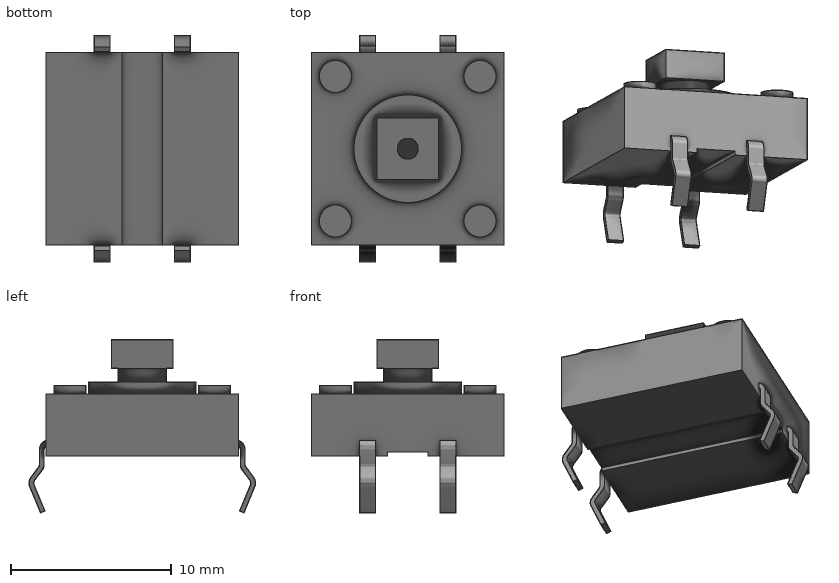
import math
import cadquery as cq

body_side = 12.0
body_height = 3.88
channel_width = 2.5
channel_height = 0.25

post_diameter = 2.0
post_pitch = 9.0
post_top = 4.4

collar_diameter = 6.7
collar_top = 4.6
stem_diameter = 3.0
cap_side = 3.83
cap_bottom = 5.46
cap_top = 7.25
cap_hole_diameter = 1.3

overall_length = 14.1
overall_height = 10.78
terminal_pitch = 5.0
terminal_width = 1.0
strip_thickness = 0.3
bend_inner_radius = 0.3
shank_gap = 0.1
shank_top = 0.4
shank_bottom = -0.51
splay_angle = 37.0
return_angle = 22.5
root_length = 0.5


def make_disc(diameter, bottom, top):
    """Upright cylinder centred on the Z axis."""
    return cq.Workplane("XY").workplane(offset=bottom).circle(diameter / 2).extrude(top - bottom)


def make_block(side, bottom, top):
    """Square block centred on the Z axis."""
    return cq.Workplane("XY").workplane(offset=bottom).rect(side, side).extrude(top - bottom)


def make_housing():
    channel = (
        cq.Workplane("XY")
        .box(channel_width, body_side, channel_height, centered=(True, True, False))
    )
    return make_block(body_side, 0, body_height).cut(channel)


def make_posts():
    return (
        cq.Workplane("XY")
        .workplane(offset=body_height)
        .rect(post_pitch, post_pitch, forConstruction=True)
        .vertices()
        .circle(post_diameter / 2)
        .extrude(post_top - body_height)
    )


def make_plunger():
    collar = make_disc(collar_diameter, body_height, collar_top)
    stem = make_disc(stem_diameter, collar_top, cap_bottom)
    cap = make_block(cap_side, cap_bottom, cap_top)
    cap_hole = make_disc(cap_hole_diameter, cap_bottom, cap_top)
    return collar.union(stem).union(cap.cut(cap_hole))


def on_arc(center, radius, angle):
    """Point on a circle in the YZ plane; the angle is in degrees from +Y."""
    turn = math.radians(angle)
    return (center[0] + radius * math.cos(turn), center[1] + radius * math.sin(turn))


def make_terminal():
    """Terminal on the +Y side, centred on X = 0."""
    bend_outer_radius = bend_inner_radius + strip_thickness
    splay = math.radians(splay_angle)
    lean = math.radians(return_angle)
    shank_outer = body_side / 2 + shank_gap + strip_thickness

    shoulder = (shank_outer - bend_outer_radius, shank_top)
    splay_bend = (shank_outer + bend_inner_radius, shank_bottom)
    knee_y = overall_length / 2 - bend_outer_radius
    radius_sum = bend_inner_radius + bend_outer_radius
    splay_length = (knee_y - splay_bend[0] + radius_sum * math.cos(splay)) / math.sin(splay)
    knee_z = shank_bottom - radius_sum * math.sin(splay) - splay_length * math.cos(splay)
    knee = (knee_y, knee_z)

    outer_knee_end = on_arc(knee, bend_outer_radius, -return_angle)
    inner_knee_end = on_arc(knee, bend_inner_radius, -return_angle)
    tip_z = cap_top - overall_height
    tip_length = (outer_knee_end[1] - tip_z) / math.cos(lean)
    tip_y_step = -tip_length * math.sin(lean)
    tip_z_step = -tip_length * math.cos(lean)

    root_y = shoulder[0] - root_length
    splay_middle = 180 + splay_angle / 2
    splay_end = 180 + splay_angle
    profile = (
        cq.Workplane("YZ")
        .moveTo(root_y, shank_top + bend_outer_radius)
        .lineTo(*on_arc(shoulder, bend_outer_radius, 90))
        .threePointArc(on_arc(shoulder, bend_outer_radius, 45), on_arc(shoulder, bend_outer_radius, 0))
        .lineTo(*on_arc(splay_bend, bend_inner_radius, 180))
        .threePointArc(
            on_arc(splay_bend, bend_inner_radius, splay_middle),
            on_arc(splay_bend, bend_inner_radius, splay_end),
        )
        .lineTo(*on_arc(knee, bend_outer_radius, splay_angle))
        .threePointArc(on_arc(knee, bend_outer_radius, 0), outer_knee_end)
        .lineTo(outer_knee_end[0] + tip_y_step, outer_knee_end[1] + tip_z_step)
        .lineTo(inner_knee_end[0] + tip_y_step, inner_knee_end[1] + tip_z_step)
        .lineTo(*inner_knee_end)
        .threePointArc(on_arc(knee, bend_inner_radius, 0), on_arc(knee, bend_inner_radius, splay_angle))
        .lineTo(*on_arc(splay_bend, bend_outer_radius, splay_end))
        .threePointArc(
            on_arc(splay_bend, bend_outer_radius, splay_middle),
            on_arc(splay_bend, bend_outer_radius, 180),
        )
        .lineTo(*on_arc(shoulder, bend_inner_radius, 0))
        .threePointArc(on_arc(shoulder, bend_inner_radius, 45), on_arc(shoulder, bend_inner_radius, 90))
        .lineTo(root_y, shank_top + bend_inner_radius)
        .close()
    )
    return profile.extrude(terminal_width / 2, both=True)


result = make_housing().union(make_posts()).union(make_plunger())
terminal = make_terminal()
for x in (-terminal_pitch / 2, terminal_pitch / 2):
    placed_terminal = terminal.translate((x, 0, 0))
    result = result.union(placed_terminal)
    result = result.union(placed_terminal.mirror("XZ"))